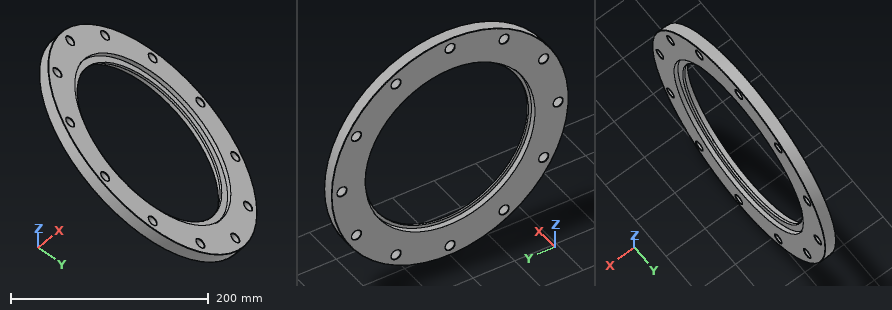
import cadquery as cq

outer_diameter = 285.0
thickness = 14.0
edge_chamfer = 0.5

lip_diameter = 197.0
front_recess_diameter = 204.0
front_recess_depth = 6.5
back_recess_diameter = 213.0
lip_thickness = 2.5
back_recess_depth = thickness - front_recess_depth - lip_thickness

bolt_count = 12
bolt_hole_diameter = 11.0
bolt_circle_diameter = 260.0

front_x = -thickness / 2
back_x = thickness / 2


def cylinder_along_x(diameter, start_x, length):
    """Solid cylinder on the X axis, running from start_x towards +X."""
    return cq.Workplane("YZ", origin=(start_x, 0, 0)).circle(diameter / 2).extrude(length)


def drill_bolt_holes(body):
    """Cut evenly spaced through holes, chamfered at both mouths."""
    chamfer_diameter = bolt_hole_diameter + 2 * edge_chamfer
    countersink_angle = 90
    for face in (">X", "<X"):
        body = (
            body.faces(face)
            .workplane(origin=(0, 0, 0))
            .polarArray(bolt_circle_diameter / 2, 0, 360, bolt_count)
            .cskHole(bolt_hole_diameter, chamfer_diameter, countersink_angle)
        )
    return body


disc = cylinder_along_x(outer_diameter, front_x, thickness).edges().chamfer(edge_chamfer)

lip_bore = cylinder_along_x(lip_diameter, front_x, thickness)
front_recess = cylinder_along_x(front_recess_diameter, front_x, front_recess_depth)
back_recess = cylinder_along_x(back_recess_diameter, back_x - back_recess_depth, back_recess_depth)

ring = disc.cut(lip_bore).cut(front_recess).cut(back_recess)

result = drill_bolt_holes(ring)